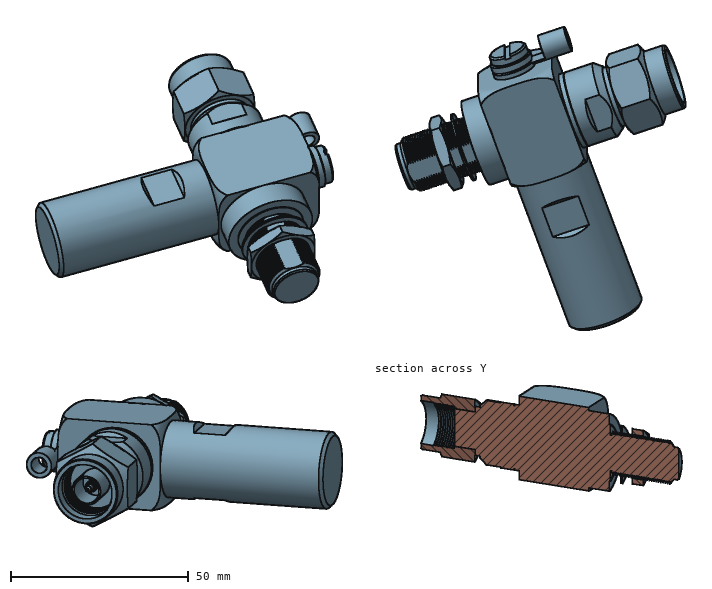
import cadquery as cq
import math


BLOCK_WIDTH = 22.0
BLOCK_HEIGHT = 25.0
BLOCK_BACK_Y = 16.85
BLOCK_FRONT_Y = -13.1
BLOCK_FACE_RADIUS = 12.2
BLOCK_ROUNDING = 5.1

TUBE_RADIUS = 10.9
TUBE_END_Y = -60.5
TUBE_CHAMFER = 1.0
TUBE_FLAT_Z = 9.5
TUBE_FLAT_FRONT_Y = -30.5
TUBE_FLAT_BACK_Y = -21.4
TUBE_FLAT_RUNOUT = 1.1

PLUG_BARREL_START_X = -21.1
PLUG_NECK_RADIUS = 8.7
PLUG_CONE_START_X = -23.4
PLUG_CONE_RADIUS = 9.15
PLUG_FLAT_Z = 9.65
PLUG_FLAT_END_X = -16.9
PLUG_FLAT_RUNOUT = 0.85
PLUG_GROOVE_X = -12.5
PLUG_GROOVE_WIDTH = 0.13
PLUG_GROOVE_DEPTH = 0.4

SPIGOT_FACE_X = -31.3
SLEEVE_TIP_X = -40.6
SLEEVE_OUTER_RADIUS = 4.15
SLEEVE_INNER_RADIUS = 3.6
PIN_TIP_X = -39.4
PIN_TIP_RADIUS = 0.85
PIN_POINT_RADIUS = 0.25
PIN_TAPER_LENGTH = 0.7
PIN_SHOULDER_X = -36.4
PIN_RADIUS = 1.5
PIN_SHOULDER_CHAMFER = 0.3

COUPLING_FRONT_X = -41.9
COUPLING_HEX_START_X = -35.9
COUPLING_END_X = -24.9
COUPLING_COLLAR_RADIUS = 9.4
COUPLING_COLLAR_CHAMFER_LENGTH = 0.5
COUPLING_COLLAR_CHAMFER_DEPTH = 0.25
COUPLING_FLATS = 20.9
COUPLING_FRONT_CONE_LENGTH = 1.4
COUPLING_REAR_CONE_RADIUS = 10.3
COUPLING_REAR_CONE_LENGTH = 1.0
COUPLING_BORE_RADIUS = 7.9
COUPLING_THREAD_START_X = -37.9
COUPLING_THREAD_CREST_RADIUS = 7.4

FLANGE_END_X = 17.5
SEAT_RADIUS = 9.7
SEAT_END_X = 17.8
THREAD_PITCH = 0.72
THREAD_START_X = 18.1
THREAD_TURNS = 26
THREAD_CREST_RADIUS = 8.0
THREAD_ROOT_RADIUS = 7.4
THREAD_RELIEF_RADIUS = 7.1
JACK_FLAT_Z = 6.9
JACK_TIP_RADIUS = 6.8
JACK_TIP_START_X = 37.8
JACK_SHOULDER_RADIUS = 7.7
JACK_END_X = 39.4
JACK_TIP_CHAMFER_LENGTH = 0.5
JACK_TIP_CHAMFER_DEPTH = 0.25

WASHER_START_X = 21.0
WASHER_THICKNESS = 0.6
WASHER_RADIUS = 9.8
PANEL_NUT_START_X = 24.6
PANEL_NUT_END_X = 28.1
PANEL_NUT_FLATS = 19.0
PANEL_NUT_CONE_RADIUS = 9.5
PANEL_NUT_CONE_LENGTH = 0.6

LUG_RADIUS = 3.6
LUG_LIFT = 0.1
LUG_WALL = 1.35
LUG_START_X = -17.3
LUG_BARREL_END_X = -9.6
LUG_DISC_RADIUS = 6.1

CAP_TOP_Y = 23.3
CAP_HEAD_RADIUS = 5.4
CAP_HEAD_BOTTOM_Y = 20.75
CAP_CHAMFER = 0.5
CAP_GROOVE_RADIUS = 5.1
CAP_FLANGE_TOP_Y = 20.5
CAP_FLANGE_BOTTOM_Y = 18.7
CAP_FLANGE_RADIUS = 6.0
CAP_FLANGE_FLAT_WIDTH = 3.0
CAP_NECK_RADIUS = 4.15
CAP_SLOT_WIDTH = 1.6
CAP_SLOT_DEPTH = 0.9


def turned_on_x(profile):
    """Revolve a closed (x, radius) outline around the X axis."""
    return cq.Workplane("XY").polyline(profile).close().revolve(360, (0, 0, 0), (1, 0, 0))


def turned_on_y(profile):
    """Revolve a closed (radius, y) outline around the Y axis."""
    return cq.Workplane("XY").polyline(profile).close().revolve(360, (0, 0, 0), (0, 1, 0))


def cylinder_on_x(start, end, radius):
    return cq.Workplane("YZ").workplane(offset=start).circle(radius).extrude(end - start)


def cylinder_on_y(start, end, radius):
    return turned_on_y([(0, start), (radius, start), (radius, end), (0, end)])


def thread_points(start, turns, base_radius, tip_radius):
    """Corner points of a row of V-shaped thread rings: a base point, then a tip and a base for each ring."""
    points = [(start, base_radius)]
    for turn in range(turns):
        ring_start = start + turn * THREAD_PITCH
        points.append((ring_start + THREAD_PITCH / 2, tip_radius))
        points.append((ring_start + THREAD_PITCH, base_radius))
    return points


def chamfered_hexagon(start, end, flats, start_cone, end_cone):
    """Hexagonal prism along X with corners toward +Z and -Z.

    Each end is coned from a face radius out to the corners; a cone is (face radius, length along X).
    """
    corner_radius = flats / math.sqrt(3)
    start_radius, start_length = start_cone
    end_radius, end_length = end_cone
    prism = (
        cq.Workplane("YZ")
        .workplane(offset=start)
        .transformed(rotate=(0, 0, 90))
        .polygon(6, 2 * corner_radius)
        .extrude(end - start)
    )
    cones = turned_on_x([
        (start, 0),
        (start, start_radius),
        (start + start_length, corner_radius),
        (end - end_length, corner_radius),
        (end, end_radius),
        (end, 0),
    ])
    return prism.intersect(cones)


def make_block():
    """Rectangular block whose corners are turned to a rounding at both Y ends."""
    length = BLOCK_BACK_Y - BLOCK_FRONT_Y
    middle_y = (BLOCK_BACK_Y + BLOCK_FRONT_Y) / 2
    block = cq.Workplane("XY").box(BLOCK_WIDTH, length, BLOCK_HEIGHT).translate((0, middle_y, 0))
    envelope = cylinder_on_y(BLOCK_FRONT_Y, BLOCK_BACK_Y, BLOCK_FACE_RADIUS + BLOCK_ROUNDING)
    return block.intersect(envelope.edges("%CIRCLE").fillet(BLOCK_ROUNDING))


def make_tube():
    """Closed stub with two wrench pockets that have sloping ends."""
    tube = turned_on_y([
        (0, TUBE_END_Y),
        (TUBE_RADIUS - TUBE_CHAMFER, TUBE_END_Y),
        (TUBE_RADIUS, TUBE_END_Y + TUBE_CHAMFER),
        (TUBE_RADIUS, BLOCK_FRONT_Y),
        (0, BLOCK_FRONT_Y),
    ])
    pocket = (
        cq.Workplane("YZ")
        .polyline([
            (TUBE_FLAT_FRONT_Y, TUBE_FLAT_Z),
            (TUBE_FLAT_BACK_Y, TUBE_FLAT_Z),
            (TUBE_FLAT_BACK_Y + TUBE_FLAT_RUNOUT, TUBE_RADIUS),
            (TUBE_FLAT_FRONT_Y - TUBE_FLAT_RUNOUT, TUBE_RADIUS),
        ])
        .close()
        .extrude(TUBE_RADIUS, both=True)
    )
    return tube.cut(pocket).cut(pocket.mirror("XY"))


def make_plug_barrel():
    """Turned plug side with a neck, a cone, a narrow groove and two wrench flats."""
    groove_radius = TUBE_RADIUS - PLUG_GROOVE_DEPTH
    groove_end_x = PLUG_GROOVE_X + PLUG_GROOVE_WIDTH
    barrel = turned_on_x([
        (COUPLING_END_X, 0),
        (COUPLING_END_X, PLUG_NECK_RADIUS),
        (PLUG_CONE_START_X, PLUG_NECK_RADIUS),
        (PLUG_CONE_START_X, PLUG_CONE_RADIUS),
        (PLUG_BARREL_START_X, TUBE_RADIUS),
        (PLUG_GROOVE_X, TUBE_RADIUS),
        (PLUG_GROOVE_X, groove_radius),
        (groove_end_x, groove_radius),
        (groove_end_x, TUBE_RADIUS),
        (-BLOCK_WIDTH / 2, TUBE_RADIUS),
        (-BLOCK_WIDTH / 2, 0),
    ])
    flat = (
        cq.Workplane("XZ")
        .polyline([
            (PLUG_CONE_START_X, PLUG_FLAT_Z),
            (PLUG_FLAT_END_X, PLUG_FLAT_Z),
            (PLUG_FLAT_END_X + PLUG_FLAT_RUNOUT, TUBE_RADIUS),
            (PLUG_CONE_START_X, TUBE_RADIUS),
        ])
        .close()
        .extrude(TUBE_RADIUS, both=True)
    )
    return barrel.cut(flat).cut(flat.mirror("XY"))


def make_plug_contacts():
    """Spigot inside the coupling nut, the outer contact sleeve and the stepped centre pin."""
    spigot = cylinder_on_x(SPIGOT_FACE_X, COUPLING_END_X, COUPLING_THREAD_CREST_RADIUS)
    sleeve = cylinder_on_x(SLEEVE_TIP_X, SPIGOT_FACE_X, SLEEVE_OUTER_RADIUS)
    sleeve = sleeve.cut(cylinder_on_x(SLEEVE_TIP_X, SPIGOT_FACE_X, SLEEVE_INNER_RADIUS))
    pin = turned_on_x([
        (PIN_TIP_X, 0),
        (PIN_TIP_X, PIN_POINT_RADIUS),
        (PIN_TIP_X + PIN_TAPER_LENGTH, PIN_TIP_RADIUS),
        (PIN_SHOULDER_X, PIN_TIP_RADIUS),
        (PIN_SHOULDER_X, PIN_RADIUS - PIN_SHOULDER_CHAMFER),
        (PIN_SHOULDER_X + PIN_SHOULDER_CHAMFER, PIN_RADIUS),
        (SPIGOT_FACE_X, PIN_RADIUS),
        (SPIGOT_FACE_X, 0),
    ])
    return spigot.union(sleeve).union(pin)


def make_jack():
    """Flange, seat and threaded jack with a flat on its top and bottom."""
    flange = cylinder_on_x(BLOCK_WIDTH / 2, FLANGE_END_X, BLOCK_HEIGHT / 2)
    seat = cylinder_on_x(FLANGE_END_X, SEAT_END_X, SEAT_RADIUS)
    thread = thread_points(THREAD_START_X, THREAD_TURNS, THREAD_ROOT_RADIUS, THREAD_CREST_RADIUS)
    thread_end = thread[-1][0]
    stem = turned_on_x([
        (SEAT_END_X, 0),
        (SEAT_END_X, THREAD_RELIEF_RADIUS),
        (THREAD_START_X, THREAD_RELIEF_RADIUS),
        *thread,
        (thread_end, JACK_SHOULDER_RADIUS),
        (JACK_TIP_START_X, JACK_TIP_RADIUS),
        (JACK_END_X - JACK_TIP_CHAMFER_LENGTH, JACK_TIP_RADIUS),
        (JACK_END_X, JACK_TIP_RADIUS - JACK_TIP_CHAMFER_DEPTH),
        (JACK_END_X, 0),
    ])
    stem_length = JACK_END_X - SEAT_END_X
    flats = cq.Workplane("XY").box(stem_length, 2 * THREAD_CREST_RADIUS, 2 * JACK_FLAT_Z)
    stem = stem.intersect(flats.translate((SEAT_END_X + stem_length / 2, 0, 0)))
    return flange.union(seat).union(stem)


def make_housing():
    housing = make_block()
    for section in (make_tube(), make_plug_barrel(), make_plug_contacts(), make_jack()):
        housing = housing.union(section)
    return housing


def make_coupling_nut():
    collar = turned_on_x([
        (COUPLING_FRONT_X, 0),
        (COUPLING_FRONT_X, COUPLING_COLLAR_RADIUS - COUPLING_COLLAR_CHAMFER_DEPTH),
        (COUPLING_FRONT_X + COUPLING_COLLAR_CHAMFER_LENGTH, COUPLING_COLLAR_RADIUS),
        (COUPLING_HEX_START_X, COUPLING_COLLAR_RADIUS),
        (COUPLING_HEX_START_X, 0),
    ])
    hexagon = chamfered_hexagon(
        COUPLING_HEX_START_X,
        COUPLING_END_X,
        COUPLING_FLATS,
        (COUPLING_COLLAR_RADIUS, COUPLING_FRONT_CONE_LENGTH),
        (COUPLING_REAR_CONE_RADIUS, COUPLING_REAR_CONE_LENGTH),
    )
    turns = math.floor((SPIGOT_FACE_X - COUPLING_THREAD_START_X) / THREAD_PITCH)
    thread = thread_points(
        COUPLING_THREAD_START_X, turns, COUPLING_BORE_RADIUS, COUPLING_THREAD_CREST_RADIUS
    )
    bore = turned_on_x([
        (COUPLING_FRONT_X, 0),
        (COUPLING_FRONT_X, COUPLING_BORE_RADIUS),
        *thread,
        (thread[-1][0], COUPLING_THREAD_CREST_RADIUS),
        (COUPLING_END_X, COUPLING_THREAD_CREST_RADIUS),
        (COUPLING_END_X, 0),
    ])
    return collar.union(hexagon).cut(bore)


def make_panel_washer():
    end = WASHER_START_X + WASHER_THICKNESS
    washer = cylinder_on_x(WASHER_START_X, end, WASHER_RADIUS)
    return washer.cut(cylinder_on_x(WASHER_START_X, end, THREAD_CREST_RADIUS))


def make_panel_nut():
    cone = (PANEL_NUT_CONE_RADIUS, PANEL_NUT_CONE_LENGTH)
    nut = chamfered_hexagon(PANEL_NUT_START_X, PANEL_NUT_END_X, PANEL_NUT_FLATS, cone, cone)
    return nut.cut(cylinder_on_x(PANEL_NUT_START_X, PANEL_NUT_END_X, THREAD_CREST_RADIUS))


def make_ground_lug():
    """Wire barrel whose lower wall runs on to a ring under the cap."""
    axis_y = BLOCK_BACK_Y + LUG_RADIUS + LUG_LIFT
    plate_top_y = BLOCK_BACK_Y + LUG_WALL
    barrel = cylinder_on_x(LUG_START_X, LUG_BARREL_END_X, LUG_RADIUS).translate((0, axis_y, 0))
    tongue = cylinder_on_x(LUG_BARREL_END_X, 0, LUG_RADIUS).translate((0, axis_y, 0))
    below_plate_top = (
        cq.Workplane("XY")
        .box(-LUG_START_X, LUG_WALL, 2 * LUG_RADIUS)
        .translate((LUG_START_X / 2, BLOCK_BACK_Y + LUG_WALL / 2, 0))
    )
    tongue = tongue.intersect(below_plate_top)
    disc = cylinder_on_y(BLOCK_BACK_Y, plate_top_y, LUG_DISC_RADIUS)
    wire_bore = cylinder_on_x(LUG_START_X, LUG_BARREL_END_X, LUG_RADIUS - LUG_WALL)
    lug = barrel.union(tongue).union(disc).cut(wire_bore.translate((0, axis_y, 0)))
    return lug.cut(cylinder_on_y(BLOCK_BACK_Y, plate_top_y, CAP_NECK_RADIUS))


def make_cap():
    cap = turned_on_y([
        (0, BLOCK_BACK_Y),
        (CAP_NECK_RADIUS, BLOCK_BACK_Y),
        (CAP_NECK_RADIUS, CAP_FLANGE_BOTTOM_Y),
        (CAP_FLANGE_RADIUS, CAP_FLANGE_BOTTOM_Y),
        (CAP_FLANGE_RADIUS, CAP_FLANGE_TOP_Y),
        (CAP_GROOVE_RADIUS, CAP_FLANGE_TOP_Y),
        (CAP_GROOVE_RADIUS, CAP_HEAD_BOTTOM_Y),
        (CAP_HEAD_RADIUS, CAP_HEAD_BOTTOM_Y),
        (CAP_HEAD_RADIUS, CAP_TOP_Y - CAP_CHAMFER),
        (CAP_HEAD_RADIUS - CAP_CHAMFER, CAP_TOP_Y),
        (0, CAP_TOP_Y),
    ])
    slot = cq.Workplane("XY").box(CAP_SLOT_WIDTH, CAP_SLOT_DEPTH, 2 * CAP_HEAD_RADIUS)
    cap = cap.cut(slot.translate((0, CAP_TOP_Y - CAP_SLOT_DEPTH / 2, 0)))
    flat_x = math.sqrt(CAP_FLANGE_RADIUS**2 - (CAP_FLANGE_FLAT_WIDTH / 2) ** 2)
    flange_height = CAP_FLANGE_TOP_Y - CAP_FLANGE_BOTTOM_Y
    flat = cq.Workplane("XY").box(CAP_FLANGE_RADIUS, flange_height, CAP_FLANGE_RADIUS)
    return cap.cut(flat.translate((
        -flat_x - CAP_FLANGE_RADIUS / 2,
        (CAP_FLANGE_TOP_Y + CAP_FLANGE_BOTTOM_Y) / 2,
        0,
    )))


housing = make_housing()
coupling_nut = make_coupling_nut()
panel_washer = make_panel_washer()
panel_nut = make_panel_nut()
ground_lug = make_ground_lug()
cap = make_cap()

result = cq.Compound.makeCompound([
    housing.val(),
    coupling_nut.val(),
    panel_washer.val(),
    panel_nut.val(),
    ground_lug.val(),
    cap.val(),
])